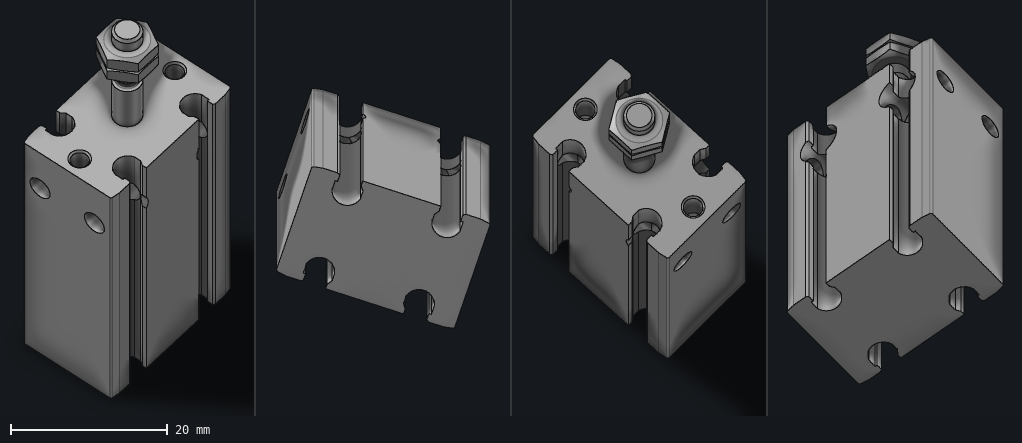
import cadquery as cq
import math

width = 15.0
length = 24.0
height = 40.0
half_width = width / 2
half_length = length / 2

taper_start = 10.6
taper_inset = 0.25
corner_radius = 0.3

slot_radius = 3.95 / 2
slot_half_gap = 1.9
slot_x = 5.7
slot_y = 6.7
slot_inner_wall = 5.25
slot_outer_wall = 8.27
slot_inner_lip_x = 6.85
slot_inner_flat_x = 6.2
slot_outer_lip_x = 6.4
slot_chamfer_x = 0.2
slot_chamfer_y = 0.35

through_diameter = 3.3
through_z = height - 7.0
end_hole_x = 4.5
side_hole_y = 6.5
counterbore_diameter = 6.0
counterbore_depth = 5.0

thread_y = 9.5
thread_diameter = 2.46
thread_mouth_diameter = 3.0
thread_depth = 6.0

rod_diameter = 4.0
rod_radius = rod_diameter / 2
rod_engagement = 10.0
rod_shoulder_z = height + 7.0
neck_radius = 2.67 / 2
neck_fillet = 0.2
stud_start_z = height + 8.55
rod_top_z = height + 17.0
stud_tip_radius = 3.24 / 2

nut_across_flats = 7.0
nut_across_corners = nut_across_flats / math.cos(math.pi / 6)
nut_thickness = 2.2
nut_face_radius = 6.0 / 2
nut_corner_drop = 0.3
nut_count = 2
nut_stack_top_z = height + 15.0


def block():
    """Rectangular block with slightly tapered, rounded vertical corners."""
    taper_x = half_width - taper_inset
    outline = [
        (half_width, -taper_start), (half_width, taper_start), (taper_x, half_length),
        (-taper_x, half_length), (-half_width, taper_start),
        (-half_width, -taper_start), (-taper_x, -half_length), (taper_x, -half_length),
    ]
    solid = cq.Workplane("XY").polyline(outline).close().extrude(height)
    ends = solid.faces("<Y or >Y")
    return ends.edges("|Z").fillet(corner_radius)


def slot(side_x, side_y):
    """Flat-sided round-bottomed slot with a narrower mouth, placed in one quadrant of the block."""
    inner_flat_y = slot_y - slot_half_gap
    outer_flat_y = slot_y + slot_half_gap
    arc_end_x = slot_x - math.sqrt(slot_radius**2 - slot_half_gap**2)
    cutter = (
        cq.Workplane("XY")
        .moveTo(half_width, slot_inner_wall)
        .lineTo(slot_inner_lip_x, slot_inner_wall)
        .lineTo(slot_inner_flat_x, inner_flat_y)
        .lineTo(arc_end_x, inner_flat_y)
        .threePointArc((slot_x - slot_radius, slot_y), (arc_end_x, outer_flat_y))
        .lineTo(slot_outer_lip_x, outer_flat_y)
        .lineTo(slot_outer_lip_x, slot_outer_wall)
        .lineTo(half_width - slot_chamfer_x, slot_outer_wall)
        .lineTo(half_width, slot_outer_wall + slot_chamfer_y)
        .close()
        .extrude(height)
    )
    if side_x < 0:
        cutter = cutter.mirror("YZ")
    if side_y < 0:
        cutter = cutter.mirror("XZ")
    return cutter


def end_hole(x):
    """Hole running through the block along Y."""
    plane = cq.Workplane("XZ", origin=(x, half_length, through_z))
    return plane.circle(through_diameter / 2).extrude(length)


def side_hole(y):
    """Hole running through the block along X, counterbored from the -X face."""
    plane = cq.Workplane("YZ", origin=(-half_width, y, through_z))
    hole = plane.circle(through_diameter / 2).extrude(width)
    counterbore = plane.circle(counterbore_diameter / 2).extrude(counterbore_depth)
    return hole.union(counterbore)


def threaded_hole(y):
    """Blind hole in the top face with a chamfered mouth."""
    mouth_size = thread_mouth_diameter - thread_diameter
    top = cq.Workplane("XY", origin=(0, y, height))
    hole = top.circle(thread_diameter / 2).extrude(-thread_depth)
    mouth = top.circle(thread_mouth_diameter / 2).extrude(-mouth_size / 2, taper=45)
    return hole.union(mouth)


def make_housing():
    """Block with slots, cross holes, threaded holes and a seat for the rod."""
    body = block()
    for side in (-1, 1):
        for other_side in (-1, 1):
            body = body.cut(slot(side, other_side))
        body = body.cut(end_hole(side * end_hole_x))
        body = body.cut(side_hole(side * side_hole_y))
        body = body.cut(threaded_hole(side * thread_y))
    seat = cq.Workplane("XY", origin=(0, 0, height)).circle(rod_radius).extrude(-rod_engagement)
    return body.cut(seat)


def make_rod():
    """Turned rod: shank, filleted relief neck and stud with a chamfered tip."""
    neck_top_z = stud_start_z - (rod_radius - neck_radius)
    tip_start_z = rod_top_z - (rod_radius - stud_tip_radius)
    fillet_x = neck_radius + neck_fillet
    fillet_z = rod_shoulder_z + neck_fillet
    arc_offset = neck_fillet * math.sqrt(0.5)
    return (
        cq.Workplane("XZ")
        .moveTo(0, height - rod_engagement)
        .lineTo(rod_radius, height - rod_engagement)
        .lineTo(rod_radius, rod_shoulder_z)
        .lineTo(fillet_x, rod_shoulder_z)
        .threePointArc((fillet_x - arc_offset, fillet_z - arc_offset), (neck_radius, fillet_z))
        .lineTo(neck_radius, neck_top_z)
        .lineTo(rod_radius, stud_start_z)
        .lineTo(rod_radius, tip_start_z)
        .lineTo(stud_tip_radius, rod_top_z)
        .lineTo(0, rod_top_z)
        .close()
        .revolve(360, (0, 0, 0), (0, 1, 0))
    )


def make_nut(base_z):
    """Hexagon nut, corners pointing along Y, with both faces coned at the corners."""
    hexagon_radius = nut_across_corners / 2
    hexagon = (
        cq.Workplane("XY")
        .polygon(6, nut_across_corners)
        .extrude(nut_thickness)
        .rotate((0, 0, 0), (0, 0, 1), 30)
    )
    envelope = (
        cq.Workplane("XZ")
        .moveTo(rod_radius, 0)
        .lineTo(nut_face_radius, 0)
        .lineTo(hexagon_radius, nut_corner_drop)
        .lineTo(hexagon_radius, nut_thickness - nut_corner_drop)
        .lineTo(nut_face_radius, nut_thickness)
        .lineTo(rod_radius, nut_thickness)
        .close()
        .revolve(360, (0, 0, 0), (0, 1, 0))
    )
    return hexagon.intersect(envelope).translate((0, 0, base_z))


housing = make_housing()
rod = make_rod()
nuts = [make_nut(nut_stack_top_z - (index + 1) * nut_thickness) for index in range(nut_count)]

result = cq.Compound.makeCompound([housing.val(), rod.val(), *[nut.val() for nut in nuts]])